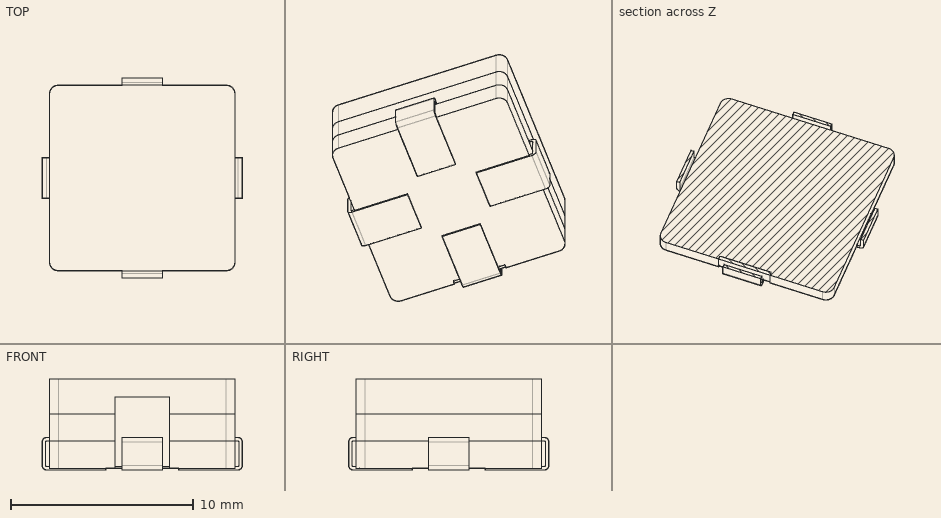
import cadquery as cq

overall_width = 11.0
overall_height = 5.0
core_width = 10.2
core_corner_radius = 0.5
core_lift = 0.1
bottom_layer_height = 1.5
middle_layer_height = 1.5

strip_thickness = 0.2
terminal_width = 2.23
pad_inner_end = 2.0
bend_outer_radius = 0.25
bend_inner_radius = bend_outer_radius - strip_thickness
terminal_angles = (0, 90, 180, 270)

plate_width = 3.0
plate_top = 4.0

core_face = core_width / 2
terminal_reach = overall_width / 2
middle_layer_base = core_lift + bottom_layer_height
top_layer_base = middle_layer_base + middle_layer_height
top_layer_height = overall_height - top_layer_base
terminal_height = middle_layer_base + strip_thickness
plate_base = strip_thickness


def make_layer(base, height):
    """One round-cornered square slab of the core."""
    return (
        cq.Workplane("XY", origin=(0, 0, base))
        .rect(core_width, core_width)
        .extrude(height)
        .edges("|Z")
        .fillet(core_corner_radius)
    )


def make_front_block(base, top):
    """Block as wide and deep as the contact plate, flush with the front face."""
    return (
        cq.Workplane("XY", origin=(0, -core_face, base))
        .rect(plate_width, 2 * strip_thickness)
        .extrude(top - base)
        .intersect(make_layer(base, top - base))
    )


def make_bent_block(x_start, x_end, z_start, z_end, bend_radius):
    """Block of terminal width with the two edges on its -X side rounded."""
    return (
        cq.Workplane("XY", origin=((x_start + x_end) / 2, 0, z_start))
        .rect(x_end - x_start, terminal_width)
        .extrude(z_end - z_start)
        .edges("|Y and <X")
        .fillet(bend_radius)
    )


def make_terminal(angle):
    """C-shaped strip: short arm against the core, upright, and long pad underneath."""
    outer = make_bent_block(-terminal_reach, -pad_inner_end, 0, terminal_height, bend_outer_radius)
    inside = make_bent_block(
        strip_thickness - terminal_reach,
        0,
        strip_thickness,
        terminal_height - strip_thickness,
        bend_inner_radius,
    )
    core_space = (
        cq.Workplane("XY", origin=(0, 0, strip_thickness))
        .rect(core_width, core_width)
        .extrude(terminal_height)
    )
    strip = outer.cut(inside).cut(core_space)
    return strip.rotate((0, 0, 0), (0, 0, 1), angle)


terminals = [make_terminal(angle) for angle in terminal_angles]

contact_plate = make_front_block(plate_base, plate_top)
front_recess = make_front_block(core_lift, plate_top)

bottom_layer = make_layer(core_lift, bottom_layer_height).cut(front_recess)
for terminal in terminals:
    bottom_layer = bottom_layer.cut(terminal)
middle_layer = make_layer(middle_layer_base, middle_layer_height).cut(front_recess)
top_layer = make_layer(top_layer_base, top_layer_height).cut(front_recess)

result = cq.Compound.makeCompound(
    [
        bottom_layer.val(),
        middle_layer.val(),
        top_layer.val(),
        contact_plate.val(),
        *[terminal.val() for terminal in terminals],
    ]
)